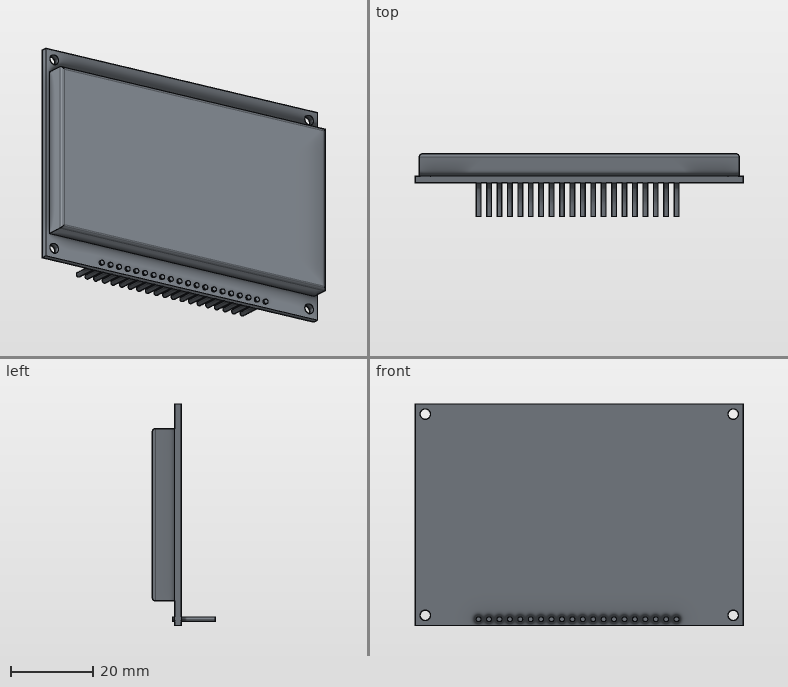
import cadquery as cq

board_width = 80.0
board_height = 54.0
board_thickness = 1.7
mount_hole_diameter = 2.5
mount_hole_inset_x = 2.5
mount_hole_inset_z = 2.5

housing_width = 78.0
housing_height = 42.0
housing_depth = 5.4
housing_rounding = 0.8

pin_count = 20
pin_row_length = 48.2
pin_pitch = pin_row_length / (pin_count - 1)
pin_row_center_x = -0.4
pin_row_inset_z = 1.5
pin_diameter = 1.2
pin_front_length = 8.2
pin_back_length = 0.5


def make_board():
    """Board with a mounting hole in each corner; its -Y face lies on Y = 0."""
    hole_span_x = board_width - 2 * mount_hole_inset_x
    hole_span_z = board_height - 2 * mount_hole_inset_z
    return (
        cq.Workplane("XZ")
        .rect(board_width, board_height)
        .rect(hole_span_x, hole_span_z, forConstruction=True)
        .vertices()
        .circle(mount_hole_diameter / 2)
        .extrude(-board_thickness)
    )


def make_housing():
    """Housing block with the rim of its outer face rounded."""
    return (
        cq.Workplane("XZ", origin=(0, board_thickness, 0))
        .rect(housing_width, housing_height)
        .extrude(-housing_depth)
        .faces(">Y")
        .edges()
        .fillet(housing_rounding)
    )


def make_pins():
    """Row of round pins, long on the -Y side and just proud of the +Y face."""
    pin_row_z = pin_row_inset_z - board_height / 2
    pin_length = pin_front_length + board_thickness + pin_back_length
    return (
        cq.Workplane("XZ", origin=(pin_row_center_x, -pin_front_length, pin_row_z))
        .rarray(pin_pitch, 0.8, pin_count, 1)
        .circle(pin_diameter / 2)
        .extrude(-pin_length)
    )


result = make_board().union(make_housing()).union(make_pins())